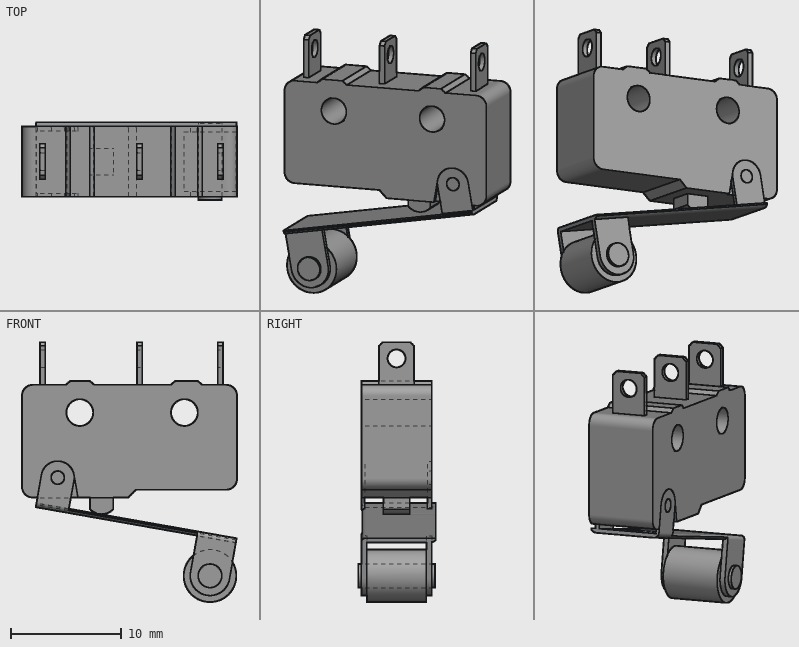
import cadquery as cq
import math


HOUSING_LENGTH = 19.55
HOUSING_WIDTH = 6.4
HOUSING_HEIGHT = 10.25
CORNER_RADIUS = 1.0
STEP_START_X = -0.12
STEP_HEIGHT = 0.7
BUMP_HEIGHT = 0.35
LEFT_BUMP_X = -4.5
LEFT_BUMP_BASE = 2.6
LEFT_BUMP_TOP = 1.75
RIGHT_BUMP_X = 5.17
RIGHT_BUMP_BASE = 2.85
RIGHT_BUMP_TOP = 2.03
MOUNT_HOLE_DIAMETER = 2.4
MOUNT_HOLE_Z = 7.73
LEFT_HOLE_X = -4.51
HOLE_SPACING = 9.5

HALF_LENGTH = HOUSING_LENGTH / 2
HALF_WIDTH = HOUSING_WIDTH / 2

TERMINAL_XS = (-7.9, 0.92, 8.25)
TERMINAL_THICKNESS = 0.5
TERMINAL_WIDTH = 3.2
TERMINAL_HEIGHT = 3.88
TERMINAL_CHAMFER = 0.35
TERMINAL_HOLE_DIAMETER = 1.6
TERMINAL_HOLE_DROP = 1.5

PLUNGER_X = -2.53
PLUNGER_LENGTH = 2.15
PLUNGER_WIDTH = 2.4
PLUNGER_REACH = 1.51
PLUNGER_TIP_SAG = 0.47

PLUNGER_TIP_RADIUS = ((PLUNGER_LENGTH / 2) ** 2 + PLUNGER_TIP_SAG**2) / (2 * PLUNGER_TIP_SAG)

LEVER_TILT = 10.0
PIVOT_X = -6.52
PIVOT_Z = 1.82
PIVOT_PIN_DIAMETER = 1.2
PIVOT_EAR_WIDTH = 3.0
FRONT_PIVOT_EAR_THICKNESS = 0.3
REAR_PIVOT_EAR_THICKNESS = 0.4
STRIP_THICKNESS = 0.4
STRIP_UNDERSIDE_DROP = 3.0
STRIP_REAR_OVERHANG = 0.38
LOWER_BEND_RADIUS = 0.5
REAR_ROUND_WIDTH = 0.55
REAR_ROUND_RADIUS = 0.7
UPPER_BEND_RADIUS = 0.38
ROLLER_EAR_WIDTH = 3.6
ROLLER_EAR_THICKNESS = 0.5

ROLLER_OFFSET = 15.17
ROLLER_DROP = 6.38
ROLLER_DIAMETER = 4.8
AXLE_DIAMETER = 2.15
AXLE_LENGTH = 7.0

PIVOT_EAR_RADIUS = PIVOT_EAR_WIDTH / 2
ROLLER_EAR_RADIUS = ROLLER_EAR_WIDTH / 2
STRIP_TOP_DROP = STRIP_UNDERSIDE_DROP - STRIP_THICKNESS
STRIP_START = -PIVOT_EAR_RADIUS
STRIP_END = ROLLER_OFFSET + ROLLER_EAR_RADIUS
STRIP_LENGTH = STRIP_END - STRIP_START
STRIP_REAR_Y = HALF_WIDTH + STRIP_REAR_OVERHANG
ROLLER_LENGTH = HOUSING_WIDTH - 2 * ROLLER_EAR_THICKNESS


def plane_xz(y):
    """Sketch plane with local axes X and Z at the given Y; a positive extrusion goes toward -Y."""
    return cq.Workplane("XZ", origin=(0, y, 0))


def cylinder_along_y(x, z, diameter, y_min, y_max):
    return plane_xz(y_max).center(x, z).circle(diameter / 2).extrude(y_max - y_min)


def place_lever_part(body):
    """Tilt a body modelled around the pivot and move it to the pivot."""
    tilted = body.rotate((0, 0, 0), (0, 1, 0), LEVER_TILT)
    return tilted.translate((PIVOT_X, 0, PIVOT_Z))


def make_bump(x, base, top):
    """Trapezoidal ridge across the top of the housing."""
    return (
        plane_xz(HALF_WIDTH)
        .moveTo(x - base / 2, HOUSING_HEIGHT)
        .lineTo(x - top / 2, HOUSING_HEIGHT + BUMP_HEIGHT)
        .lineTo(x + top / 2, HOUSING_HEIGHT + BUMP_HEIGHT)
        .lineTo(x + base / 2, HOUSING_HEIGHT)
        .close()
        .extrude(HOUSING_WIDTH)
    )


def make_ear_recess(y_max, depth):
    """Round-topped recess for a pivot ear, flared by the lever tilt on both sides down to the bottom."""
    tilt = math.radians(LEVER_TILT)
    tangent_x = PIVOT_EAR_RADIUS * math.cos(tilt)
    tangent_z = PIVOT_Z + PIVOT_EAR_RADIUS * math.sin(tilt)
    foot_x = tangent_x + tangent_z * math.tan(tilt)
    return (
        plane_xz(y_max)
        .moveTo(PIVOT_X - foot_x, 0)
        .lineTo(PIVOT_X - tangent_x, tangent_z)
        .threePointArc((PIVOT_X, PIVOT_Z + PIVOT_EAR_RADIUS), (PIVOT_X + tangent_x, tangent_z))
        .lineTo(PIVOT_X + foot_x, 0)
        .close()
        .extrude(depth)
    )


def make_housing():
    block = (
        plane_xz(HALF_WIDTH)
        .moveTo(-HALF_LENGTH, 0)
        .lineTo(STEP_START_X, 0)
        .lineTo(STEP_START_X + STEP_HEIGHT, STEP_HEIGHT)
        .lineTo(HALF_LENGTH, STEP_HEIGHT)
        .lineTo(HALF_LENGTH, HOUSING_HEIGHT)
        .lineTo(-HALF_LENGTH, HOUSING_HEIGHT)
        .close()
        .extrude(HOUSING_WIDTH)
    )
    housing = block.edges("|Y and (<X or >X)").fillet(CORNER_RADIUS)
    housing = housing.union(make_bump(LEFT_BUMP_X, LEFT_BUMP_BASE, LEFT_BUMP_TOP))
    housing = housing.union(make_bump(RIGHT_BUMP_X, RIGHT_BUMP_BASE, RIGHT_BUMP_TOP))
    for hole_x in (LEFT_HOLE_X, LEFT_HOLE_X + HOLE_SPACING):
        hole = cylinder_along_y(hole_x, MOUNT_HOLE_Z, MOUNT_HOLE_DIAMETER, -HALF_WIDTH, HALF_WIDTH)
        housing = housing.cut(hole)
    front_recess_y = FRONT_PIVOT_EAR_THICKNESS - HALF_WIDTH
    housing = housing.cut(make_ear_recess(front_recess_y, FRONT_PIVOT_EAR_THICKNESS))
    return housing.cut(make_ear_recess(HALF_WIDTH, REAR_PIVOT_EAR_THICKNESS))


def make_terminal(x):
    """Solder tab standing on the top of the housing."""
    blade = (
        cq.Workplane("XY", origin=(x, 0, HOUSING_HEIGHT))
        .box(TERMINAL_THICKNESS, TERMINAL_WIDTH, TERMINAL_HEIGHT, centered=(True, True, False))
        .edges("|X and >Z")
        .chamfer(TERMINAL_CHAMFER)
    )
    hole_z = HOUSING_HEIGHT + TERMINAL_HEIGHT - TERMINAL_HOLE_DROP
    hole = (
        cq.Workplane("YZ", origin=(x - TERMINAL_THICKNESS / 2, 0, hole_z))
        .circle(TERMINAL_HOLE_DIAMETER / 2)
        .extrude(TERMINAL_THICKNESS)
    )
    return blade.cut(hole)


def make_plunger():
    """Button under the housing with a cylindrical tip."""
    half_length = PLUNGER_LENGTH / 2
    shoulder_z = PLUNGER_TIP_SAG - PLUNGER_REACH
    return (
        plane_xz(PLUNGER_WIDTH / 2)
        .moveTo(PLUNGER_X - half_length, 0)
        .lineTo(PLUNGER_X - half_length, shoulder_z)
        .threePointArc((PLUNGER_X, -PLUNGER_REACH), (PLUNGER_X + half_length, shoulder_z))
        .lineTo(PLUNGER_X + half_length, 0)
        .close()
        .extrude(PLUNGER_WIDTH)
    )


def make_edge_waste(edge_y, edge_z, inward_y, inward_z, radius):
    """Material outside a round of the given radius along an edge parallel to the strip.

    inward_y and inward_z are +1 or -1 and point from the edge into the metal.
    """
    center_y = edge_y + inward_y * radius
    center_z = edge_z + inward_z * radius
    middle = radius * math.sqrt(0.5)
    return (
        cq.Workplane("YZ", origin=(STRIP_START, 0, 0))
        .moveTo(edge_y, edge_z)
        .lineTo(center_y, edge_z)
        .threePointArc((center_y - inward_y * middle, center_z - inward_z * middle), (edge_y, center_z))
        .close()
        .extrude(STRIP_LENGTH)
    )


def make_pivot_ear(y_max, thickness):
    """Ear rising from the underside of the strip and rounded about the pivot."""
    return (
        plane_xz(y_max)
        .moveTo(-PIVOT_EAR_RADIUS, -STRIP_UNDERSIDE_DROP)
        .lineTo(-PIVOT_EAR_RADIUS, 0)
        .threePointArc((0, PIVOT_EAR_RADIUS), (PIVOT_EAR_RADIUS, 0))
        .lineTo(PIVOT_EAR_RADIUS, -STRIP_UNDERSIDE_DROP)
        .close()
        .extrude(thickness)
        .cut(cylinder_along_y(0, 0, PIVOT_PIN_DIAMETER, y_max - thickness, y_max))
    )


def make_roller_ear(y_max):
    """Ear hanging from the top of the strip and rounded about the axle."""
    y_min = y_max - ROLLER_EAR_THICKNESS
    return (
        plane_xz(y_max)
        .moveTo(ROLLER_OFFSET - ROLLER_EAR_RADIUS, -STRIP_TOP_DROP)
        .lineTo(ROLLER_OFFSET - ROLLER_EAR_RADIUS, -ROLLER_DROP)
        .threePointArc((ROLLER_OFFSET, -ROLLER_DROP - ROLLER_EAR_RADIUS), (STRIP_END, -ROLLER_DROP))
        .lineTo(STRIP_END, -STRIP_TOP_DROP)
        .close()
        .extrude(ROLLER_EAR_THICKNESS)
        .cut(cylinder_along_y(ROLLER_OFFSET, -ROLLER_DROP, AXLE_DIAMETER, y_min, y_max))
    )


def make_lever():
    strip = cq.Workplane("XY", origin=(STRIP_START, -HALF_WIDTH, -STRIP_UNDERSIDE_DROP)).box(
        STRIP_LENGTH, HALF_WIDTH + STRIP_REAR_Y, STRIP_THICKNESS, centered=False
    )
    lower_front_waste = make_edge_waste(-HALF_WIDTH, -STRIP_UNDERSIDE_DROP, 1, 1, LOWER_BEND_RADIUS)
    upper_front_waste = make_edge_waste(-HALF_WIDTH, -STRIP_TOP_DROP, 1, -1, UPPER_BEND_RADIUS)
    rear_round_y = STRIP_REAR_Y - REAR_ROUND_WIDTH + REAR_ROUND_RADIUS
    lower_rear_waste = make_edge_waste(rear_round_y, -STRIP_UNDERSIDE_DROP, -1, 1, REAR_ROUND_RADIUS)
    strip = strip.cut(lower_front_waste).cut(upper_front_waste).cut(lower_rear_waste)

    front_pivot_ear = make_pivot_ear(FRONT_PIVOT_EAR_THICKNESS - HALF_WIDTH, FRONT_PIVOT_EAR_THICKNESS)
    rear_pivot_ear = make_pivot_ear(HALF_WIDTH, REAR_PIVOT_EAR_THICKNESS)
    front_roller_ear = make_roller_ear(ROLLER_EAR_THICKNESS - HALF_WIDTH)
    rear_roller_ear = make_roller_ear(HALF_WIDTH)

    lever = (
        strip.union(front_pivot_ear.cut(lower_front_waste))
        .union(rear_pivot_ear.cut(lower_rear_waste))
        .union(front_roller_ear.cut(upper_front_waste))
        .union(rear_roller_ear)
    )
    tip_axis_z = PLUNGER_TIP_RADIUS - PLUNGER_REACH
    groove_start_y = -PLUNGER_WIDTH / 2
    groove = cylinder_along_y(PLUNGER_X, tip_axis_z, 2 * PLUNGER_TIP_RADIUS, groove_start_y, STRIP_REAR_Y)
    return place_lever_part(lever).cut(groove)


def make_pivot_pin(y_max, length):
    """Short pin that fills the hole of one pivot ear."""
    return cylinder_along_y(PIVOT_X, PIVOT_Z, PIVOT_PIN_DIAMETER, y_max - length, y_max)


def make_roller():
    half_length = ROLLER_LENGTH / 2
    tube = cylinder_along_y(ROLLER_OFFSET, -ROLLER_DROP, ROLLER_DIAMETER, -half_length, half_length)
    bore = cylinder_along_y(ROLLER_OFFSET, -ROLLER_DROP, AXLE_DIAMETER, -half_length, half_length)
    return place_lever_part(tube.cut(bore))


def make_axle():
    half_length = AXLE_LENGTH / 2
    axle = cylinder_along_y(ROLLER_OFFSET, -ROLLER_DROP, AXLE_DIAMETER, -half_length, half_length)
    return place_lever_part(axle)


housing = make_housing()
terminals = [make_terminal(x) for x in TERMINAL_XS]
plunger = make_plunger()
lever = make_lever()
pivot_pins = [
    make_pivot_pin(FRONT_PIVOT_EAR_THICKNESS - HALF_WIDTH, FRONT_PIVOT_EAR_THICKNESS),
    make_pivot_pin(HALF_WIDTH, REAR_PIVOT_EAR_THICKNESS),
]
roller = make_roller()
axle = make_axle()

bodies = [housing, *terminals, plunger, lever, *pivot_pins, roller, axle]
result = cq.Compound.makeCompound([body.solids().val() for body in bodies])